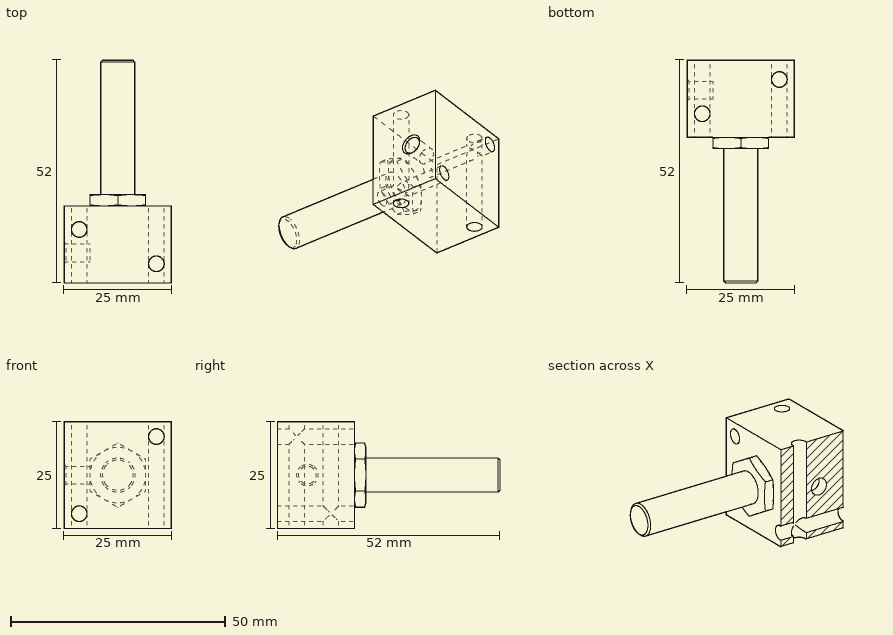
import cadquery as cq
import math

block_width = 25.0
block_depth = 18.0
block_height = 25.0

mount_diameter = 3.6
mount_offset = 9.0
low_mount_y = 4.5
high_mount_y = 12.5

port_y = 7.0
port_diameter = 4.13
port_mouth_diameter = 5.0
port_depth = 6.0

nut_across_flats = 13.0
nut_thickness = 2.65
nut_face_diameter = nut_across_flats
nut_chamfer_angle = 15.0

rod_diameter = 8.0
rod_chamfer = 0.46
overall_length = 52.0


def cylinder_along(start, direction, diameter, length):
    cylinder = cq.Solid.makeCylinder(diameter / 2, length, cq.Vector(*start), cq.Vector(*direction))
    return cq.Workplane(cylinder)


def make_block():
    return cq.Workplane("XY").box(block_width, block_depth, block_height, centered=(True, False, True))


def cut_mounting_holes(body):
    for side, vertical_y in ((1, low_mount_y), (-1, high_mount_y)):
        x = side * mount_offset
        z = x
        along_y = cylinder_along((x, 0, z), (0, 1, 0), mount_diameter, block_depth)
        along_z = cylinder_along((x, vertical_y, -block_height / 2), (0, 0, 1), mount_diameter, block_height)
        body = body.cut(along_y).cut(along_z)
    return body


def cut_port(body):
    mouth = (-block_width / 2, port_y, 0)
    bore = cylinder_along(mouth, (1, 0, 0), port_diameter, port_depth)
    countersink_depth = (port_mouth_diameter - port_diameter) / 2
    countersink = cq.Workplane(
        cq.Solid.makeCone(
            port_mouth_diameter / 2,
            port_diameter / 2,
            countersink_depth,
            cq.Vector(*mouth),
            cq.Vector(1, 0, 0),
        )
    )
    return body.cut(bore).cut(countersink)


def make_nut():
    across_corners = nut_across_flats / math.cos(math.pi / 6)
    hexagon = (
        cq.Workplane("XZ", origin=(0, block_depth, 0))
        .transformed(rotate=(0, 0, 90))
        .polygon(6, across_corners)
        .extrude(-nut_thickness)
    )
    face_radius = nut_face_diameter / 2
    corner_radius = across_corners / 2
    bevel_drop = (corner_radius - face_radius) * math.tan(math.radians(nut_chamfer_angle))
    nut_back = block_depth + nut_thickness
    envelope = (
        cq.Workplane("XY")
        .moveTo(0, block_depth)
        .lineTo(face_radius, block_depth)
        .lineTo(corner_radius, block_depth + bevel_drop)
        .lineTo(corner_radius, nut_back - bevel_drop)
        .lineTo(face_radius, nut_back)
        .lineTo(0, nut_back)
        .close()
        .revolve(360, (0, 0, 0), (0, 1, 0))
    )
    return hexagon.intersect(envelope)


def make_rod():
    rod_length = overall_length - block_depth
    rod = cylinder_along((0, block_depth, 0), (0, 1, 0), rod_diameter, rod_length)
    return rod.faces(">Y").chamfer(rod_chamfer)


block = cut_port(cut_mounting_holes(make_block()))
result = block.union(make_nut()).union(make_rod())